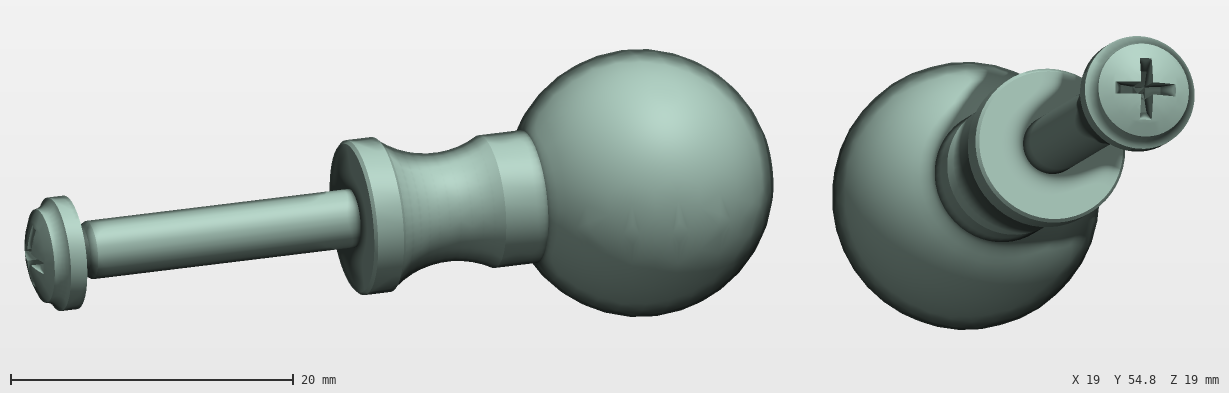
import cadquery as cq
import math


overall_length = 54.75

ball_radius = 19.0 / 2
neck_radius = 9.5 / 2
neck_length = 3.1
waist_radius = 3.9
waist_length = 7.6
waist_low_offset = 3.65
flange_radius = 5.55
flange_length = 2.35
flange_chamfer = 0.2

shank_radius = 2.1
engagement = 4.55
relief_radius = 1.8
relief_taper_length = 0.5
relief_length = 0.95
head_radius = 4.05
head_rim_length = 1.2
head_shoulder_length = 1.0
head_crown_length = 0.9
crown_radius = 3.35
shoulder_bulge = 0.15

recess_arm_width = 0.9
recess_outer_reach = 2.25
recess_inner_reach = 1.5
recess_mouth_depth = 0.35
recess_wall_depth = 1.65
recess_centre_depth = 2.4

neck_start = -math.sqrt(ball_radius**2 - neck_radius**2)
neck_end = neck_start - neck_length
waist_low = neck_end - waist_low_offset
flange_start = neck_end - waist_length
flange_end = flange_start - flange_length
shank_start = flange_end + engagement

crown_sphere_radius = (crown_radius**2 + head_crown_length**2) / (2 * head_crown_length)
recess_corner_radius = recess_arm_width / math.sqrt(2)
apex_loss = crown_sphere_radius - math.sqrt(crown_sphere_radius**2 - recess_corner_radius**2)
head_tip = ball_radius - overall_length - apex_loss
crown_start = head_tip + head_crown_length
rim_end = crown_start + head_shoulder_length
head_start = rim_end + head_rim_length
relief_start = head_start + relief_length
shank_end = relief_start + relief_taper_length


def revolve_about_y(profile):
    return profile.close().revolve(360, (0, 0, 0), (0, 1, 0))


def make_knob():
    """Turned ball knob with a blind hole for the screw."""
    chamfered_radius = flange_radius - flange_chamfer
    profile = (
        cq.Workplane("XY")
        .moveTo(0, ball_radius)
        .threePointArc((ball_radius, 0), (neck_radius, neck_start))
        .lineTo(neck_radius, neck_end)
        .threePointArc((waist_radius, waist_low), (chamfered_radius, flange_start))
        .lineTo(flange_radius, flange_start - flange_chamfer)
        .lineTo(flange_radius, flange_end + flange_chamfer)
        .lineTo(chamfered_radius, flange_end)
        .lineTo(shank_radius, flange_end)
        .lineTo(shank_radius, shank_start)
        .lineTo(0, shank_start)
    )
    return revolve_about_y(profile)


def make_recess_arms():
    """Two crossed blades with steep ends and a floor sloping to the centre."""
    mouth = head_tip + recess_mouth_depth
    wall_foot = head_tip + recess_wall_depth
    outside = head_tip - recess_mouth_depth
    blade = (
        cq.Workplane("XY")
        .polyline([
            (-recess_outer_reach, outside),
            (-recess_outer_reach, mouth),
            (-recess_inner_reach, wall_foot),
            (0, head_tip + recess_centre_depth),
            (recess_inner_reach, wall_foot),
            (recess_outer_reach, mouth),
            (recess_outer_reach, outside),
        ])
        .close()
        .extrude(recess_arm_width / 2, both=True)
    )
    return blade.union(blade.rotate((0, 0, 0), (0, 1, 0), 90))


def make_screw():
    """Round-headed screw with a relief under the head and a cross recess."""
    crown_mid_radius = crown_radius / 2
    crown_mid = head_tip + crown_sphere_radius - math.sqrt(crown_sphere_radius**2 - crown_mid_radius**2)
    profile = (
        cq.Workplane("XY")
        .moveTo(0, shank_start)
        .lineTo(shank_radius, shank_start)
        .lineTo(shank_radius, shank_end)
        .lineTo(relief_radius, relief_start)
        .lineTo(relief_radius, head_start)
        .lineTo(head_radius, head_start)
        .lineTo(head_radius, rim_end)
        .sagittaArc((crown_radius, crown_start), -shoulder_bulge)
        .threePointArc((crown_mid_radius, crown_mid), (0, head_tip))
    )
    return revolve_about_y(profile).cut(make_recess_arms())


knob = make_knob()
screw = make_screw()
result = cq.Compound.makeCompound([knob.val(), screw.val()])